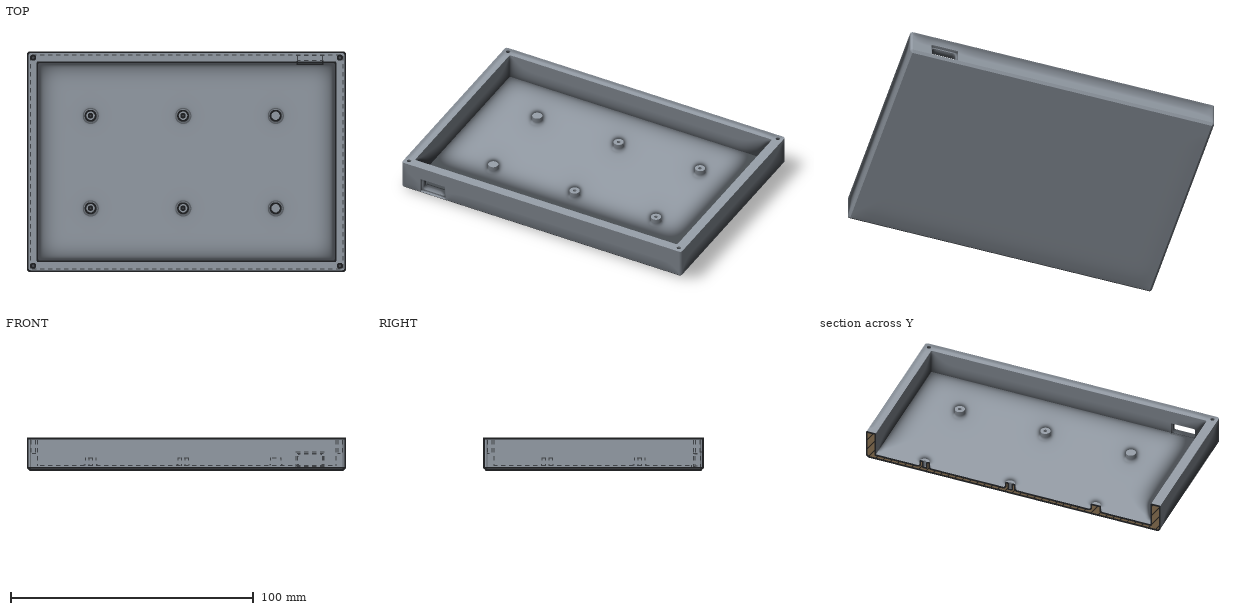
import cadquery as cq

LENGTH = 130.8
WIDTH = 90.2
HEIGHT = 13.0
WALL = 4.05
FLOOR = 2.0
EDGE_CHAMFER = 1.0
CORNER_RADIUS = 1.05
POCKET_CORNER_RADIUS = 0.5

RIM_HOLE_DIAMETER = 1.8
RIM_HOLE_DEPTH = 6.0
RIM_HOLE_INSET = 2.25

STANDOFF_DIAMETER = 4.2
STANDOFF_HEIGHT = 3.0
STANDOFF_BASE_FILLET = 1.0
STANDOFF_PITCH = 38.1
STANDOFF_CENTER_X = -1.42
STANDOFF_CENTER_Y = -0.1
PILOT_DIAMETER = 1.5
PILOT_DEPTH = STANDOFF_HEIGHT

PORT_CENTER_X = 50.8
PORT_CENTER_Z = 4.25
SLOT_LENGTH = 10.2
SLOT_HEIGHT = 5.0
SLOT_CORNER_RADIUS = 1.2
INNER_RECESS_MARGIN = 0.2
INNER_RECESS_DEPTH = 0.65
FLOOR_NOTCH_WIDTH = 0.9
OUTER_RECESS_MARGIN = 0.7
OUTER_RECESS_DEPTH = 1.2


def make_tray():
    """Open box with rounded vertical corners, a chamfered bottom edge and a rounded-corner pocket."""
    body = cq.Workplane("XY").box(LENGTH, WIDTH, HEIGHT, centered=(True, True, False))
    body = body.edges("|Z").fillet(CORNER_RADIUS)
    body = body.faces("<Z").edges().chamfer(EDGE_CHAMFER)
    pocket = (
        cq.Workplane("XY", origin=(0, 0, FLOOR))
        .rect(LENGTH - 2 * WALL, WIDTH - 2 * WALL)
        .extrude(HEIGHT - FLOOR)
        .edges("|Z")
        .fillet(POCKET_CORNER_RADIUS)
    )
    return body.cut(pocket)


def make_rim_holes():
    """Blind vertical holes, one at each corner of the rim."""
    return (
        cq.Workplane("XY", origin=(0, 0, HEIGHT))
        .rect(LENGTH - 2 * RIM_HOLE_INSET, WIDTH - 2 * RIM_HOLE_INSET, forConstruction=True)
        .vertices()
        .circle(RIM_HOLE_DIAMETER / 2)
        .extrude(-RIM_HOLE_DEPTH)
    )


def make_standoff(has_pilot):
    """Round post on a flared base, standing on the floor at the origin."""
    radius = STANDOFF_DIAMETER / 2
    base_radius = radius + STANDOFF_BASE_FILLET
    post = (
        cq.Workplane("XZ")
        .lineTo(base_radius, 0)
        .radiusArc((radius, STANDOFF_BASE_FILLET), STANDOFF_BASE_FILLET)
        .lineTo(radius, STANDOFF_HEIGHT)
        .lineTo(0, STANDOFF_HEIGHT)
        .close()
        .revolve(360, (0, 0, 0), (0, 1, 0))
    )
    if has_pilot:
        post = post.faces(">Z").workplane().hole(PILOT_DIAMETER, PILOT_DEPTH)
    return post


def add_standoffs(body):
    """Three columns by two rows; the +X column is solid."""
    for column in (-1, 0, 1):
        standoff = make_standoff(has_pilot=column < 1)
        for row in (-1, 1):
            x = STANDOFF_CENTER_X + column * STANDOFF_PITCH
            y = STANDOFF_CENTER_Y + row * STANDOFF_PITCH / 2
            body = body.union(standoff.translate((x, y, FLOOR)))
    return body


def make_port_block(margin, y_start, y_end):
    """Block along Y that is larger than the slot by the margin on every side."""
    return (
        cq.Workplane("XY")
        .box(
            SLOT_LENGTH + 2 * margin,
            y_end - y_start,
            SLOT_HEIGHT + 2 * margin,
            centered=(True, False, True),
        )
        .translate((PORT_CENTER_X, y_start, PORT_CENTER_Z))
    )


def make_port():
    """Rounded slot with a recess on both wall faces; the inner one also notches the floor."""
    outer_face = WIDTH / 2
    inner_face = outer_face - WALL
    slot = make_port_block(0, inner_face, outer_face).edges("|Y").fillet(SLOT_CORNER_RADIUS)
    inner_recess = make_port_block(
        INNER_RECESS_MARGIN,
        inner_face - FLOOR_NOTCH_WIDTH,
        inner_face + INNER_RECESS_DEPTH,
    )
    outer_recess = make_port_block(
        OUTER_RECESS_MARGIN,
        outer_face - OUTER_RECESS_DEPTH,
        outer_face,
    )
    return slot.union(inner_recess).union(outer_recess)


result = add_standoffs(make_tray()).cut(make_rim_holes()).cut(make_port())